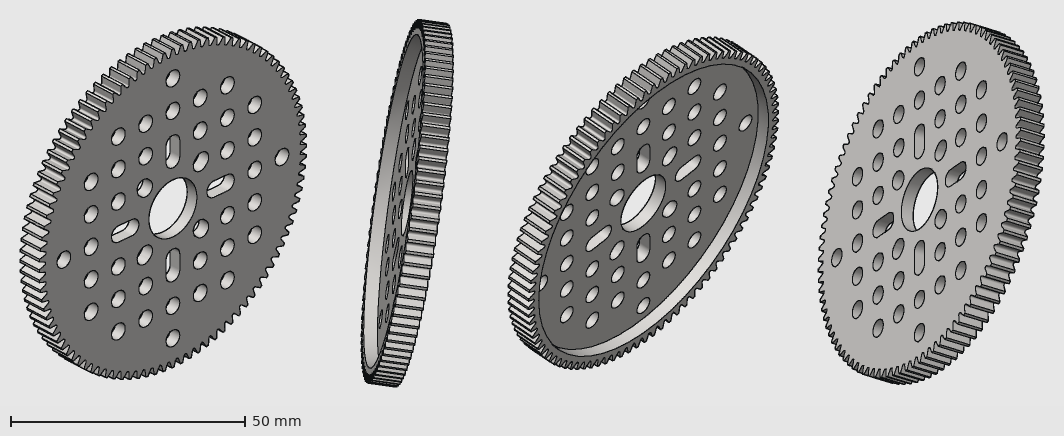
import cadquery as cq
import math

outer_diameter = 78.4
gear_width = 6.0
tooth_count = 96
pressure_angle = math.radians(20)
dedendum_factor = 1.25
root_round_factor = 0.38

recess_diameter = 72.0
recess_depth = 3.0
bore_diameter = 14.0
hole_diameter = 4.0
hole_pitch = 8.0
grid_radius_steps = 4
slot_end_steps = 2
bolt_circle_radius = 12.0

module = outer_diameter / (tooth_count + 2)
outer_radius = outer_diameter / 2
pitch_radius = module * tooth_count / 2
base_radius = pitch_radius * math.cos(pressure_angle)
root_radius = pitch_radius - dedendum_factor * module
flank_start_radius = root_radius + root_round_factor * module
tooth_angle = 2 * math.pi / tooth_count


def polar(radius, angle):
    return (radius * math.cos(angle), radius * math.sin(angle))


def involute(radius):
    """Polar angle swept by the involute between the base circle and a radius."""
    roll = math.acos(base_radius / radius)
    return math.tan(roll) - roll


def half_tooth_angle(radius):
    """Half the angle that one tooth spans at a radius."""
    return tooth_angle / 4 + involute(pitch_radius) - involute(radius)


def gear_blank():
    """Toothed disc with a tooth on the +Y axis; its -X face lies on X = 0."""
    flank_radii = [flank_start_radius, pitch_radius, outer_radius]
    outline = cq.Workplane("YZ").moveTo(*polar(flank_start_radius, -half_tooth_angle(flank_start_radius)))
    for tooth in range(tooth_count):
        middle = tooth * tooth_angle
        next_middle = middle + tooth_angle
        rising = [polar(r, middle - half_tooth_angle(r)) for r in flank_radii]
        falling = [polar(r, middle + half_tooth_angle(r)) for r in reversed(flank_radii)]
        root_middle = polar(root_radius, middle + tooth_angle / 2)
        next_start = polar(flank_start_radius, next_middle - half_tooth_angle(flank_start_radius))
        outline = (
            outline.spline(rising[1:], includeCurrent=True)
            .threePointArc(polar(outer_radius, middle), falling[0])
            .spline(falling[1:], includeCurrent=True)
            .threePointArc(root_middle, next_start)
        )
    return outline.close().extrude(gear_width)


def is_round_hole(row, column):
    """True for grid places within the grid radius that hold no bore and no slot."""
    in_grid = row**2 + column**2 <= grid_radius_steps**2
    on_axis_slot = row * column == 0 and abs(row + column) <= slot_end_steps
    on_diagonal_slot = abs(row) == 1 and abs(column) == 1
    return in_grid and not on_axis_slot and not on_diagonal_slot


def radial_slot(inner_center, outer_center, angle):
    """Slot along a radius, given by the radii of its two end centres and its angle in degrees."""
    middle = (inner_center + outer_center) / 2
    length = outer_center - inner_center + hole_diameter
    slot = cq.Workplane("YZ").center(middle, 0).slot2D(length, hole_diameter).extrude(gear_width)
    return slot.rotate((0, 0, 0), (1, 0, 0), angle)


gear = gear_blank()

gear = gear.cut(cq.Workplane("YZ").circle(recess_diameter / 2).extrude(recess_depth))

gear = gear.cut(cq.Workplane("YZ").circle(bore_diameter / 2).extrude(gear_width))

steps = range(-grid_radius_steps, grid_radius_steps + 1)
hole_centers = [
    (column * hole_pitch, row * hole_pitch)
    for row in steps
    for column in steps
    if is_round_hole(row, column)
]
holes = cq.Workplane("YZ").pushPoints(hole_centers).circle(hole_diameter / 2).extrude(gear_width)
gear = gear.cut(holes)

axis_slot_end = slot_end_steps * hole_pitch
diagonal_slot_start = math.hypot(hole_pitch, hole_pitch)
for axis_angle in (0, 90, 180, 270):
    gear = gear.cut(radial_slot(bolt_circle_radius, axis_slot_end, axis_angle))
    gear = gear.cut(radial_slot(diagonal_slot_start, bolt_circle_radius, axis_angle + 45))

result = gear.translate((-gear_width / 2, 0, 0))